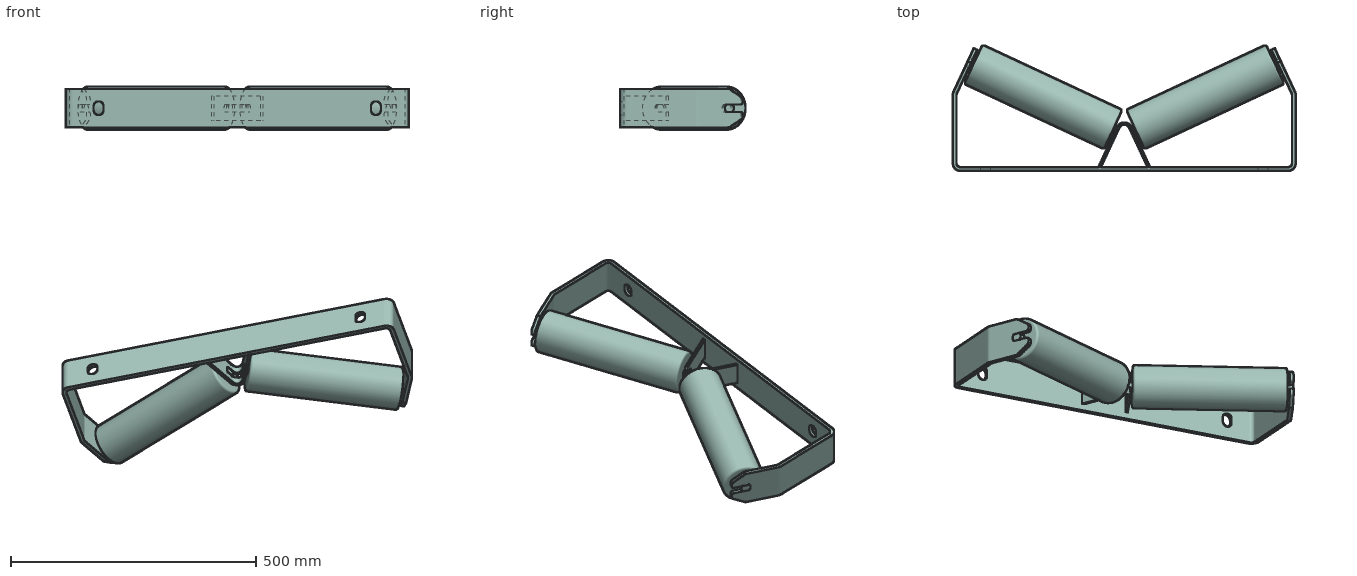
import cadquery as cq
import math


tilt = 25.0
roller_x = 165.0
roller_y = 151.0
roller_diameter = 89.0
roller_length = 315.0
roller_edge_radius = 5.0
shaft_diameter = 20.0
shaft_flats = 15.0
end_gap = 5.0

frame_length = 700.0
frame_width = 78.5
bend_radius = 16.0
frame_thickness = bend_radius / 2
fork_tip = 30.0
fork_root = -21.0
fork_taper_length = 29.5
fork_tip_width = 42.0
fork_corner_radius = 8.5
slot_mouth_radius = 5.5

mount_spacing = 565.5
mount_hole_length = 28.0
mount_hole_width = 20.0

bracket_thickness = 5.0
bracket_width = 50.0

tilt_sin = math.sin(math.radians(tilt))
tilt_cos = math.cos(math.radians(tilt))
tilt_tan = math.tan(math.radians(tilt))
support_offset = roller_length / 2 + end_gap
arm_outer = support_offset + frame_thickness
bracket_inner = support_offset + bracket_thickness
frame_bend_inside = bend_radius - frame_thickness


def to_frame(u, v):
    """Frame XY of a point u outward along the right roller's axis and v up across it."""
    return (roller_x + u * tilt_cos - v * tilt_sin, roller_y + u * tilt_sin + v * tilt_cos)


def place(body, side):
    """Move a body from right-hand roller axes (u, v, Z) to its side (+1 right, -1 left)."""
    placed = body.rotate((0, 0, 0), (0, 0, 1), tilt).translate((roller_x, roller_y, 0))
    return placed if side > 0 else placed.mirror("YZ")


def mirrored_outline(right_points):
    """Close a right-hand chain of points with its mirror image about X = 0."""
    return right_points + [(-x, y) for x, y in reversed(right_points)]


def strip(points, width):
    """Extrude an XY outline to a strip of the given width, centred on Z = 0."""
    return cq.Workplane("XY").polyline(points).close().extrude(width / 2, both=True)


def round_bends(body, points, radius):
    """Round the Z edges that pass through the given points and their mirror images."""
    for x, y in points:
        for side in (1, -1):
            body = body.edges(cq.selectors.NearestToPointSelector((side * x, y, 0))).fillet(radius)
    return body


def shaft_flat_block():
    """Block that leaves two flats on a shaft, or on the seat that holds it."""
    return cq.Workplane("XY").box(2 * roller_length, shaft_diameter, shaft_flats)


def make_shaft():
    """Flatted shaft, flush with the outer arm face and the inside of the bracket."""
    length = bracket_inner + arm_outer
    shaft = cq.Workplane("YZ").workplane(offset=-bracket_inner).circle(shaft_diameter / 2).extrude(length)
    return shaft.intersect(shaft_flat_block())


def make_roller(side):
    """Roller with rounded end edges, in one piece with its shaft."""
    end_plane = cq.Plane(origin=(-roller_length / 2, 0, 0), xDir=(0, -1, 0), normal=(1, 0, 0))
    shell = cq.Workplane(end_plane).circle(roller_diameter / 2).extrude(roller_length)
    shell = shell.edges("%CIRCLE").fillet(roller_edge_radius)
    return place(shell.union(make_shaft()), side)


def make_shaft_slot(start, end):
    """Cutter from u = start to u = end: fits the shaft and opens upward as far as the fork tip."""
    length = end - start
    seat = cq.Workplane("YZ").workplane(offset=start).circle(shaft_diameter / 2).extrude(length)
    mouth = (
        cq.Workplane("YZ")
        .workplane(offset=start)
        .center(fork_tip / 2, 0)
        .rect(fork_tip, shaft_flats)
        .extrude(length)
    )
    return seat.intersect(shaft_flat_block()).union(mouth)


def make_fork(side):
    """Tapered, slotted end of a frame arm."""
    half_width = frame_width / 2
    half_tip = fork_tip_width / 2
    taper_start = fork_tip - fork_taper_length
    lower_half = [(fork_root, -half_width), (taper_start, -half_width), (fork_tip, -half_tip)]
    upper_half = [(fork_tip, half_tip), (taper_start, half_width), (fork_root, half_width)]
    fork = (
        cq.Workplane("YZ")
        .workplane(offset=support_offset)
        .polyline(lower_half + upper_half)
        .close()
        .extrude(frame_thickness)
        .cut(make_shaft_slot(support_offset, arm_outer))
    )
    fork = fork.edges("|X").edges(">Y").edges("not(>Z or <Z)").fillet(slot_mouth_radius)
    fork = fork.edges("|X").edges(">Y").edges(">Z or <Z").fillet(fork_corner_radius)
    return place(fork, side)


def make_frame():
    """Bent strip: base, two upright sides and two inclined arms that end in forks."""
    half_length = frame_length / 2
    inner_half = half_length - frame_thickness
    outer_root = to_frame(arm_outer, fork_root)
    inner_root = to_frame(support_offset, fork_root)
    outer_corner = (half_length, 0)
    inner_corner = (inner_half, frame_thickness)
    outer_elbow = (half_length, outer_root[1] - (half_length - outer_root[0]) / tilt_tan)
    inner_elbow = (inner_half, inner_root[1] - (inner_half - inner_root[0]) / tilt_tan)
    right_points = [outer_corner, outer_elbow, outer_root, inner_root, inner_elbow, inner_corner]
    frame = strip(mirrored_outline(right_points), frame_width)
    frame = round_bends(frame, [outer_corner, outer_elbow], bend_radius)
    frame = round_bends(frame, [inner_corner, inner_elbow], frame_bend_inside)
    for side in (1, -1):
        frame = frame.union(make_fork(side))
    mount_holes = (
        cq.Workplane("XZ")
        .pushPoints([(-mount_spacing / 2, 0), (mount_spacing / 2, 0)])
        .slot2D(mount_hole_length, mount_hole_width, 90)
        .extrude(-frame_thickness)
    )
    return frame.cut(mount_holes)


def make_bracket():
    """Inverted V standing on the base, slotted across its crown for both shafts."""
    outer_x, outer_y = to_frame(-support_offset, 0)
    inner_x, inner_y = to_frame(-bracket_inner, 0)
    outer_apex = (0, outer_y + outer_x / tilt_tan)
    inner_apex = (0, inner_y + inner_x / tilt_tan)
    outer_foot = ((outer_apex[1] - frame_thickness) * tilt_tan, frame_thickness)
    inner_foot = ((inner_apex[1] - frame_thickness) * tilt_tan, frame_thickness)
    left_inner_foot = (-inner_foot[0], inner_foot[1])
    left_outer_foot = (-outer_foot[0], outer_foot[1])
    points = [outer_apex, outer_foot, inner_foot, inner_apex, left_inner_foot, left_outer_foot]
    bracket = strip(points, bracket_width)
    bracket = bracket.edges("|Z").edges(">Y").fillet(bend_radius)
    crown = cq.selectors.NearestToPointSelector((*inner_apex, 0))
    bracket = bracket.edges(crown).fillet(bend_radius - bracket_thickness)
    slot = make_shaft_slot(-bracket_inner - bend_radius, -support_offset)
    for side in (1, -1):
        bracket = bracket.cut(place(slot, side))
    return bracket


frame = make_frame()
bracket = make_bracket()
rollers = [make_roller(side) for side in (1, -1)]
result = cq.Compound.makeCompound([frame.val(), bracket.val(), *[roller.val() for roller in rollers]])